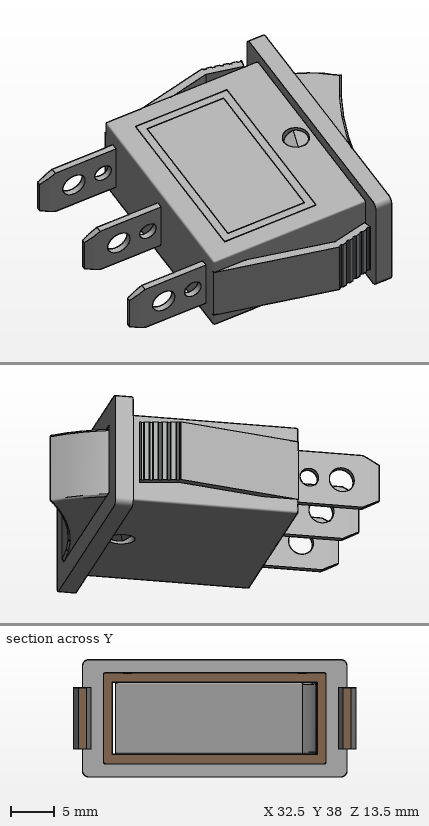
import cadquery as cq
import math


FRAME_LENGTH = 30.45
FRAME_HEIGHT = 13.5
FRAME_THICKNESS = 2.1
FRAME_CORNER_RADIUS = 0.75
BODY_LENGTH = 25.6
BODY_HEIGHT = 10.5
BODY_DEPTH = 20.0
BODY_EDGE_RADIUS = 0.245
BODY_END_Y = -FRAME_THICKNESS - BODY_DEPTH

MARK_LENGTH = 21.05
MARK_WIDTH = 12.05
MARK_BAND = 1.0
MARK_DEPTH = 0.057
MARK_CENTRE_Y = -13.35

ARM_HEIGHT = 7.05
ARM_SPAN = 32.5
ARM_WIDTH_X = 1.0
ARM_ELBOW_Y = -7.48
ARM_TIP_Y = -2.8
ARM_TIP_INSET = 1.05
GRIP_COUNT = 5
GRIP_PITCH = 1.03
GRIP_FIRST_OFFSET = 0.35
GRIP_MOUTH = 0.5
GRIP_FLOOR = 0.245
GRIP_DEPTH = 0.133

TERMINAL_PITCH = 10.6
TERMINAL_COUNT = 3
TERMINAL_LENGTH = 10.0
TERMINAL_HEIGHT = 6.35
TERMINAL_THICKNESS = 0.75
TIP_HEIGHT = 4.33
TIP_HEIGHT_TAPER = 1.97
TIP_THICKNESS = 0.45
TIP_THICKNESS_TAPER = 1.18
SMALL_HOLE_DIAMETER = 2.15
SMALL_HOLE_OFFSET = 1.7
LARGE_HOLE_DIAMETER = 2.92
LARGE_HOLE_OFFSET = 5.55

PIVOT_Y = -4.15
PIVOT_BORE_DIAMETER = 3.1
PIVOT_DIAMETER = 2.9
PIVOT_RECESS = 0.3
PIVOT_RAMP_DROP = 0.6
ROCKER_TILT = 16.8
ROCKER_WIDTH = 8.25
ROCKER_EDGE_RADIUS = 0.245
ROCKER_TIP_X = 9.8
ROCKER_TIP_Y = 7.5
ROCKER_DISH_Y = 6.23
ROCKER_SIDE_X = 11.4
ROCKER_BASE_Y = -2.28

WELL_LENGTH = 23.55
WELL_DEPTH = 9.87


def box_between_y(length, height, y_front, y_back):
    """Box centred on X and Z that runs along Y from y_front down to y_back."""
    return (
        cq.Workplane("XZ", origin=(0, y_front, 0))
        .rect(length, height)
        .extrude(y_front - y_back)
    )


def make_frame():
    frame = box_between_y(FRAME_LENGTH, FRAME_HEIGHT, 0, -FRAME_THICKNESS)
    return frame.edges("|Y").fillet(FRAME_CORNER_RADIUS)


def make_body():
    body = box_between_y(BODY_LENGTH, BODY_HEIGHT, -FRAME_THICKNESS, BODY_END_Y)
    return body.edges("|Y or <Y").fillet(BODY_EDGE_RADIUS)


def make_marking_groove():
    groove_floor_z = BODY_HEIGHT / 2 - MARK_DEPTH
    return (
        cq.Workplane("XY", origin=(0, MARK_CENTRE_Y, groove_floor_z))
        .rect(MARK_LENGTH, MARK_WIDTH)
        .rect(MARK_LENGTH - 2 * MARK_BAND, MARK_WIDTH - 2 * MARK_BAND)
        .extrude(MARK_DEPTH)
    )


def make_right_arm():
    """Bent spring arm on the +X side, with a square-cut tip and grip grooves near it."""
    elbow_x = ARM_SPAN / 2
    tip_x = elbow_x - ARM_TIP_INSET
    foot_x = BODY_LENGTH / 2
    lean = ARM_TIP_INSET / (ARM_TIP_Y - ARM_ELBOW_Y)
    tip_width_x = ARM_WIDTH_X / (1 + lean**2)
    tip_drop = tip_width_x * lean
    arm = (
        cq.Workplane("XY", origin=(0, 0, -ARM_HEIGHT / 2))
        .moveTo(foot_x, BODY_END_Y)
        .lineTo(elbow_x, ARM_ELBOW_Y)
        .lineTo(tip_x, ARM_TIP_Y)
        .lineTo(tip_x - tip_width_x, ARM_TIP_Y - tip_drop)
        .lineTo(elbow_x - ARM_WIDTH_X, ARM_ELBOW_Y)
        .lineTo(foot_x - ARM_WIDTH_X, BODY_END_Y)
        .close()
        .extrude(ARM_HEIGHT)
    )
    grip_plane = cq.Plane(
        origin=(tip_x, ARM_TIP_Y, -ARM_HEIGHT / 2), xDir=(lean, -1, 0), normal=(0, 0, 1)
    )
    for index in range(GRIP_COUNT):
        centre = GRIP_FIRST_OFFSET + index * GRIP_PITCH
        groove = (
            cq.Workplane(grip_plane)
            .moveTo(centre - GRIP_MOUTH / 2, 0)
            .lineTo(centre - GRIP_FLOOR / 2, -GRIP_DEPTH)
            .lineTo(centre + GRIP_FLOOR / 2, -GRIP_DEPTH)
            .lineTo(centre + GRIP_MOUTH / 2, 0)
            .close()
            .extrude(ARM_HEIGHT)
        )
        arm = arm.cut(groove)
    return arm


def make_terminal(centre_x):
    """Flat blade with a tapered tip and two cross holes."""
    tip_y = BODY_END_Y - TERMINAL_LENGTH

    def tapered_outline(plane, width, tip_width, taper):
        return (
            plane.moveTo(width / 2, BODY_END_Y)
            .lineTo(width / 2, tip_y + taper)
            .lineTo(tip_width / 2, tip_y)
            .lineTo(-tip_width / 2, tip_y)
            .lineTo(-width / 2, tip_y + taper)
            .lineTo(-width / 2, BODY_END_Y)
            .close()
        )

    thickness_plane = cq.Workplane("XY", origin=(centre_x, 0, -TERMINAL_HEIGHT / 2))
    thickness_profile = tapered_outline(
        thickness_plane, TERMINAL_THICKNESS, TIP_THICKNESS, TIP_THICKNESS_TAPER
    ).extrude(TERMINAL_HEIGHT)

    left_face_x = centre_x - TERMINAL_THICKNESS / 2
    side_plane = cq.Workplane(
        cq.Plane(origin=(left_face_x, 0, 0), xDir=(0, 0, -1), normal=(1, 0, 0))
    )
    side_profile = tapered_outline(
        side_plane, TERMINAL_HEIGHT, TIP_HEIGHT, TIP_HEIGHT_TAPER
    ).extrude(TERMINAL_THICKNESS)

    blade = thickness_profile.intersect(side_profile)
    for diameter, offset in (
        (SMALL_HOLE_DIAMETER, SMALL_HOLE_OFFSET),
        (LARGE_HOLE_DIAMETER, LARGE_HOLE_OFFSET),
    ):
        hole = (
            cq.Workplane("YZ", origin=(left_face_x, BODY_END_Y - offset, 0))
            .circle(diameter / 2)
            .extrude(TERMINAL_THICKNESS)
        )
        blade = blade.cut(hole)
    return blade


def make_pivot_bore():
    return (
        cq.Workplane("XY", origin=(0, PIVOT_Y, -BODY_HEIGHT / 2))
        .circle(PIVOT_BORE_DIAMETER / 2)
        .extrude(BODY_HEIGHT)
    )


def make_housing():
    """Frame, body, snap arms and terminals as one solid, with the well for the rocker."""
    right_arm = make_right_arm()
    housing = make_frame().union(make_body())
    housing = housing.union(right_arm).union(right_arm.mirror("YZ"))
    for index in range(TERMINAL_COUNT):
        centre_x = (index - (TERMINAL_COUNT - 1) / 2) * TERMINAL_PITCH
        housing = housing.union(make_terminal(centre_x))
    well = box_between_y(WELL_LENGTH, ROCKER_WIDTH, 0, -WELL_DEPTH)
    return housing.cut(well).cut(make_pivot_bore()).cut(make_marking_groove())


def make_top_pivot_pin():
    """Pin on the +Z side of the upright rocker; the inner half of its end is a ramp."""
    radius = PIVOT_DIAMETER / 2
    base_z = ROCKER_WIDTH / 2
    end_z = BODY_HEIGHT / 2 - PIVOT_RECESS
    pin = cq.Workplane("XY", origin=(0, 0, base_z)).circle(radius).extrude(end_z - base_z)
    ramp = (
        cq.Workplane("YZ", origin=(-radius, 0, 0))
        .moveTo(0, end_z)
        .lineTo(-radius, end_z)
        .lineTo(-radius, end_z - PIVOT_RAMP_DROP)
        .close()
        .extrude(PIVOT_DIAMETER)
    )
    return pin.cut(ramp)


def make_rocker():
    """Dished rocker with bowed ends, tilted about its pivot."""
    tip_inset = ROCKER_SIDE_X - ROCKER_TIP_X
    side_radius = (ROCKER_TIP_Y**2 + tip_inset**2) / (2 * tip_inset)
    base_x = ROCKER_SIDE_X - side_radius + math.sqrt(side_radius**2 - ROCKER_BASE_Y**2)
    rocker = (
        cq.Workplane("XY", origin=(0, 0, -ROCKER_WIDTH / 2))
        .moveTo(-ROCKER_TIP_X, ROCKER_TIP_Y)
        .threePointArc((0, ROCKER_DISH_Y), (ROCKER_TIP_X, ROCKER_TIP_Y))
        .threePointArc((ROCKER_SIDE_X, 0), (base_x, ROCKER_BASE_Y))
        .lineTo(-base_x, ROCKER_BASE_Y)
        .threePointArc((-ROCKER_SIDE_X, 0), (-ROCKER_TIP_X, ROCKER_TIP_Y))
        .close()
        .extrude(ROCKER_WIDTH)
    )
    rocker = rocker.faces("<Z or >Z").edges().fillet(ROCKER_EDGE_RADIUS)
    top_pin = make_top_pivot_pin()
    rocker = rocker.union(top_pin).union(top_pin.mirror("XY"))
    tilted = rocker.rotate((0, 0, 0), (0, 0, 1), -ROCKER_TILT)
    return tilted.translate((0, PIVOT_Y, 0))


housing = make_housing().solids()
rocker = make_rocker().solids()

result = cq.Compound.makeCompound([housing.val(), rocker.val()])